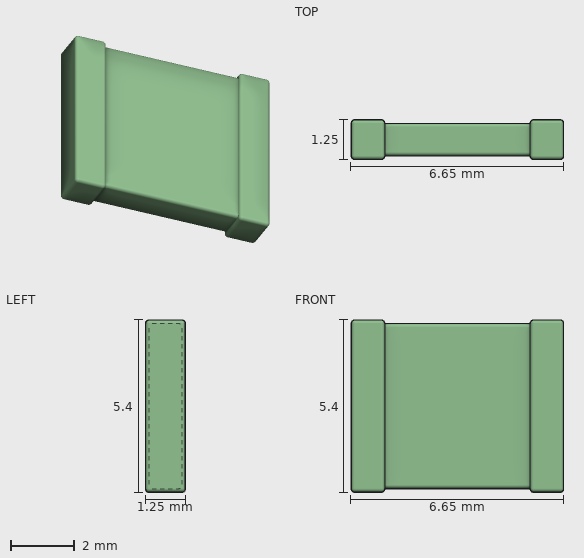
import cadquery as cq

LENGTH = 6.65
DEPTH = 1.25
HEIGHT = 5.4

CAP_LENGTH = 1.05
CAP_STEP = 0.11
EDGE_RADIUS = 0.11

CORE_LENGTH = LENGTH - 2 * CAP_LENGTH
CORE_DEPTH = DEPTH - 2 * CAP_STEP
CORE_HEIGHT = HEIGHT - 2 * CAP_STEP
CAP_OFFSET = (LENGTH - CAP_LENGTH) / 2


def make_core():
    """Flat block between the caps, rounded along its four long edges."""
    return cq.Workplane("XY").box(CORE_LENGTH, CORE_DEPTH, CORE_HEIGHT).edges("|X").fillet(EDGE_RADIUS)


def make_end_cap(center_x):
    """Terminal block with all edges rounded, its inner face butting against the core."""
    cap = cq.Workplane("XY").box(CAP_LENGTH, DEPTH, HEIGHT).edges().fillet(EDGE_RADIUS)
    return cap.translate((center_x, 0, 0))


core = make_core()
end_caps = [make_end_cap(side * CAP_OFFSET) for side in (-1, 1)]

result = cq.Compound.makeCompound([core.val(), *[cap.val() for cap in end_caps]])